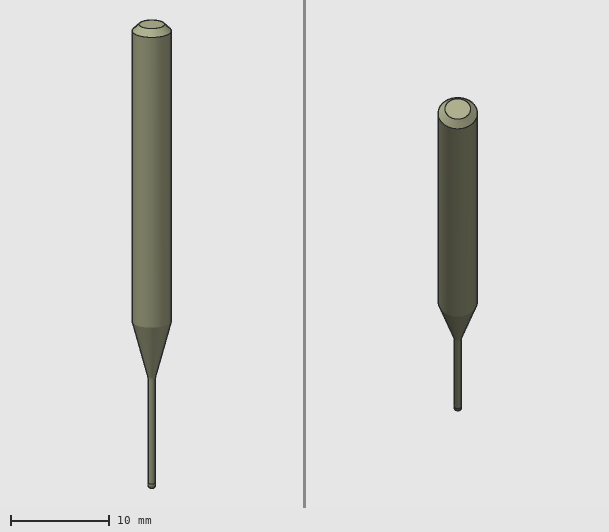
import cadquery as cq
import math

head_radius = 0.4
head_length = 0.6

total_length = 50.0
shank_radius = 2.0
chamfer = 0.7
shank_bottom = 18.0
cone_bottom = 12.0
cone_tip_radius = head_radius
neck_radius = 0.375
neck_top = 11.75


def make_holder():
    """Chamfered shank, cone, taper and neck, revolved about Z; the neck ends on the cutting head."""
    profile = (
        cq.Workplane("XZ")
        .moveTo(0, head_length)
        .lineTo(neck_radius, head_length)
        .lineTo(neck_radius, neck_top)
        .lineTo(cone_tip_radius, cone_bottom)
        .lineTo(shank_radius, shank_bottom)
        .lineTo(shank_radius, total_length - chamfer)
        .lineTo(shank_radius - chamfer, total_length)
        .lineTo(0, total_length)
        .close()
    )
    return profile.revolve(360, (0, 0, 0), (0, 1, 0))


def make_cutting_head():
    """Short cylinder with a hemispherical lower end whose lowest point is at Z = 0."""
    arc_middle_angle = math.radians(45)
    arc_middle_x = head_radius * math.sin(arc_middle_angle)
    arc_middle_z = head_radius * (1 - math.cos(arc_middle_angle))
    profile = (
        cq.Workplane("XZ")
        .moveTo(0, 0)
        .threePointArc((arc_middle_x, arc_middle_z), (head_radius, head_radius))
        .lineTo(head_radius, head_length)
        .lineTo(0, head_length)
        .close()
    )
    return profile.revolve(360, (0, 0, 0), (0, 1, 0))


holder = make_holder()
cutting_head = make_cutting_head()

result = cq.Compound.makeCompound([holder.val(), cutting_head.val()])